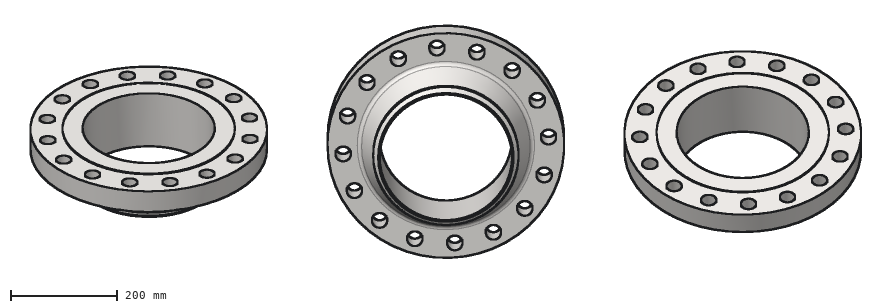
import cadquery as cq

flange_diameter = 444.5
total_height = 117.5
bore_diameter = 248.0

flange_thickness = 45.5
raised_face_diameter = 323.5
raised_face_height = 2.0

hub_base_diameter = 321.0
neck_diameter = 273.0
neck_height = 6.5
weld_end_diameter = 254.3
weld_bevel_height = 8.5
hub_fillet_radius = 9.0

bolt_count = 16
bolt_circle_diameter = 386.5
bolt_hole_diameter = 29.0

level_tolerance = 0.05

neck_bottom = weld_bevel_height
neck_top = neck_bottom + neck_height
flange_top = total_height - raised_face_height
flange_bottom = flange_top - flange_thickness


def revolved_body():
    """Flange, raised face and hub as one revolved ring around the bore."""
    profile = [
        (bore_diameter / 2, 0),
        (weld_end_diameter / 2, 0),
        (neck_diameter / 2, neck_bottom),
        (neck_diameter / 2, neck_top),
        (hub_base_diameter / 2, flange_bottom),
        (flange_diameter / 2, flange_bottom),
        (flange_diameter / 2, flange_top),
        (raised_face_diameter / 2, flange_top),
        (raised_face_diameter / 2, total_height),
        (bore_diameter / 2, total_height),
    ]
    return cq.Workplane("XZ").polyline(profile).close().revolve(360, (0, 0), (0, 1))


def round_hub_corner(body):
    """Fillet the inner corner where the hub meets the underside of the flange."""
    corner = body.edges("%CIRCLE").filter(
        lambda edge: abs(edge.Center().z - flange_bottom) < level_tolerance
        and edge.radius() < bolt_circle_diameter / 2
    )
    return corner.fillet(hub_fillet_radius)


def bolt_holes():
    """Through-hole cutters spaced evenly on the bolt circle."""
    return (
        cq.Workplane("XY")
        .polarArray(bolt_circle_diameter / 2, 0, 360, bolt_count)
        .circle(bolt_hole_diameter / 2)
        .extrude(total_height)
    )


result = round_hub_corner(revolved_body()).cut(bolt_holes())